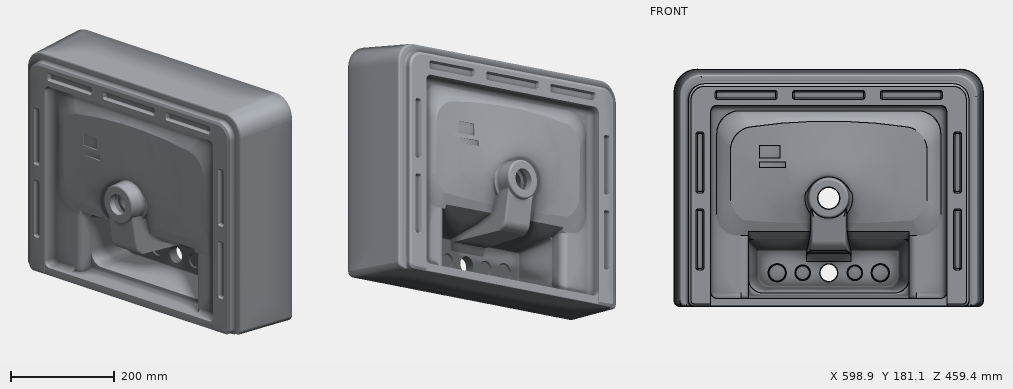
import cadquery as cq
import math


pick_margin = 1.0

overall_width = 598.9
overall_height = 459.44
rim_round = 7.0
wall_depth = 136.5
wall_edge_round = 4.0
wall_draft = math.radians(5.0)
wall_taper = wall_depth * math.tan(wall_draft)
rim_trim = rim_round * (math.tan(wall_draft) + 1 / math.cos(wall_draft) - 1)
rim_half_width = overall_width / 2 + rim_trim
rim_top = overall_height + rim_trim
rim_top_radius = 45.0
rim_top_radius_end = 41.0
low_corner_radius = 11.0

base_depth = 150.3
base_inset = 28.0
base_half_width = overall_width / 2 - base_inset
base_top = overall_height - base_inset
base_top_radius = 31.0
base_edge_depth = 2.5
base_edge_width = 5.0
step_round = 5.0
flange_width = 6.0
flange_thickness = 5.0

cavity_half_width = 228.6
cavity_low = 15.6
cavity_top = 389.5
cavity_depth = 126.0
cavity_corner_radius = 12.0
cavity_floor_round = 10.5
sill_recess = 2.0

deck_thickness = 20.0
leg_round = 14.0
leg_half_width = 169.6
pocket_half_width = leg_half_width - leg_round
pocket_step_depth = 95.0
pocket_step_round = 6.0
pocket_step_top = 130.0
pocket_mouth_top = 155.0
pocket_shelf = dict(
    half_width=pocket_half_width, low=26.0, top=pocket_step_top, low_radius=28.0, top_radius=9.0
)
pocket_floor = dict(half_width=137.0, low=37.0, top=109.0, low_radius=24.0, top_radius=4.0)
pocket_floor_round = 3.0

bowl_foot = dict(half_width=217.0, low=137.0, top=379.0, low_radius=42.0, top_radius=45.0)
crest_middle_depth = 137.0
crest_tilt = 1.8
crest_middle_height = 257.0
crest_side = 190.0
crest_top_corner = (154.0, 347.5)
crest_top_bend = (177.0, 335.0)
crest_side_top = 307.7
crest_side_low = 205.0
crest_low_bend = (180.0, 181.0)
crest_low_corner = (163.0, 166.5)
crest_top_middle = 359.0
crest_low_middle = 160.0
bowl_drain_depth = 147.5

drain_height = 209.7
drain_tip_depth = 181.08
drain_hole_diameter = 42.2
collar_root_radius = 40.4
collar_tip_radius = 38.2
collar_tip_round = 4.0
collar_root_round = 5.6
gallery_radius = 28.0
gallery_start_depth = 152.0
gallery_end_depth = 168.0

tap_height = 65.2
tap_hole_diameter = 34.0
knockouts = ((99.8, 17.6), (50.5, 15.0))
knockout_depth = 3.0
knockout_taper = 30.0

spout_face_half_width = 32.5
spout_root_half_width = 43.0
spout_face_depth = 173.5
spout_edge_round = 4.0
spout_foot = (deck_thickness, 87.0)
spout_ankle = (28.0, 103.0)
spout_heel = (150.0, 108.0)
spout_heel_bend = (160.5, 115.5)
spout_face_start = (165.5, 128.0)
spout_face_end = 174.7
spout_back = 140.0

groove_depth = 8.0
groove_taper = 20.0
groove_corner_radius = 4.5
top_groove_width = 17.0
top_groove_height = 409.6
top_groove_center_length = 139.6
top_groove_side_length = 120.0
top_groove_side_offset = 160.0
side_groove_width = 15.0
side_groove_length = 118.0
side_groove_offset = 249.5
side_groove_heights = (130.0, 278.8)

label_left = -134.0
labels = ((40.0, 24.0, 300.0, 138.8), (50.0, 10.7, 274.2, 140.2))


def plane_at(depth):
    return cq.Workplane("XZ", origin=(0, -depth, 0))


def rounded_outline(depth, half_width, low, top, low_radius, top_radius):
    low_bow = low_radius * (1 - math.sqrt(0.5))
    top_bow = top_radius * (1 - math.sqrt(0.5))
    return (
        plane_at(depth)
        .moveTo(low_radius - half_width, low)
        .lineTo(half_width - low_radius, low)
        .threePointArc((half_width - low_bow, low + low_bow), (half_width, low + low_radius))
        .lineTo(half_width, top - top_radius)
        .threePointArc((half_width - top_bow, top - top_bow), (half_width - top_radius, top))
        .lineTo(top_radius - half_width, top)
        .threePointArc((top_bow - half_width, top - top_bow), (-half_width, top - top_radius))
        .lineTo(-half_width, low + low_radius)
        .threePointArc((low_bow - half_width, low + low_bow), (low_radius - half_width, low))
        .close()
    )


def loft_between(first, second):
    wires = [first.wires().val(), second.wires().val()]
    return cq.Workplane(cq.Solid.makeLoft(wires, True))


def make_shell():
    rim = rounded_outline(0, rim_half_width, 0, rim_top, low_corner_radius, rim_top_radius)
    wall_end = rounded_outline(
        wall_depth,
        rim_half_width - wall_taper,
        0,
        rim_top - wall_taper,
        low_corner_radius,
        rim_top_radius_end,
    )
    wall = loft_between(rim, wall_end)
    wall = wall.faces(">Y").edges().fillet(rim_round)
    return wall.faces("<Y").edges().fillet(wall_edge_round)


def make_base():
    base_size = (base_half_width, 0, base_top, low_corner_radius, base_top_radius)
    flange = rounded_outline(
        wall_depth - flange_thickness,
        base_half_width + flange_width,
        -flange_width,
        base_top + flange_width,
        low_corner_radius + flange_width,
        base_top_radius + flange_width,
    ).extrude(flange_thickness)
    ring = rounded_outline(wall_depth, *base_size).extrude(base_depth - wall_depth)
    step_edges = cq.selectors.BoxSelector(
        (-base_half_width - pick_margin, -wall_depth - pick_margin, -pick_margin),
        (base_half_width + pick_margin, -wall_depth + pick_margin, base_top + pick_margin),
        boundingbox=True,
    )
    base = flange.union(ring).edges(step_edges).fillet(step_round)
    base = base.faces("<Y").edges().chamfer(base_edge_depth, base_edge_width)
    above_wall = cq.Workplane("XY").box(
        overall_width, 2 * base_depth, overall_height, centered=(True, True, False)
    )
    return base.intersect(above_wall)


def make_cavity():
    outline = rounded_outline(
        cavity_depth, cavity_half_width, cavity_low, cavity_top, cavity_corner_radius, cavity_corner_radius
    )
    cavity = outline.extrude(base_depth - cavity_depth)
    return cavity.faces(">Y").edges().fillet(cavity_floor_round)


def make_sill_recess():
    return (
        plane_at(base_depth - sill_recess)
        .rect(2 * cavity_half_width, 2 * (cavity_low + cavity_corner_radius))
        .extrude(sill_recess)
    )


def make_pocket():
    bow = pocket_step_round * (1 - math.sqrt(0.5))
    upper_stage = (
        cq.Workplane("YZ", origin=(-pocket_half_width, 0, 0))
        .moveTo(-base_depth, cavity_low)
        .lineTo(-pocket_step_depth - pocket_step_round, cavity_low)
        .threePointArc(
            (-pocket_step_depth - bow, cavity_low + bow),
            (-pocket_step_depth, cavity_low + pocket_step_round),
        )
        .lineTo(-pocket_step_depth, pocket_step_top)
        .lineTo(-base_depth, pocket_mouth_top)
        .close()
        .extrude(2 * pocket_half_width)
    )
    lower_stage = loft_between(
        rounded_outline(deck_thickness, **pocket_floor), rounded_outline(pocket_step_depth, **pocket_shelf)
    )
    lower_stage = lower_stage.faces(">Y").edges().fillet(pocket_floor_round)
    return upper_stage.union(lower_stage)


def make_leg_round(side):
    wall = side * pocket_half_width
    bow = leg_round * (1 - math.sqrt(0.5))
    return (
        cq.Workplane("XY", origin=(0, 0, cavity_low))
        .moveTo(wall, leg_round - cavity_depth)
        .threePointArc(
            (wall + side * bow, bow - cavity_depth), (side * leg_half_width, -cavity_depth)
        )
        .lineTo(side * leg_half_width, -base_depth)
        .lineTo(wall, -base_depth)
        .close()
        .extrude(bowl_foot["low"] - cavity_low)
    )


def crest_outline():
    plane = cq.Plane(origin=(0, -crest_middle_depth, crest_middle_height), xDir=(1, 0, 0), normal=(0, -1, 0))
    plane = plane.rotated((crest_tilt, 0, 0))

    def point(x, z):
        return (x, z - crest_middle_height)

    top_x, top_z = crest_top_corner
    low_x, low_z = crest_low_corner
    top_bend_x, top_bend_z = crest_top_bend
    low_bend_x, low_bend_z = crest_low_bend
    return (
        cq.Workplane(plane)
        .moveTo(*point(-low_x, low_z))
        .threePointArc(point(0, crest_low_middle), point(low_x, low_z))
        .threePointArc(point(low_bend_x, low_bend_z), point(crest_side, crest_side_low))
        .lineTo(*point(crest_side, crest_side_top))
        .threePointArc(point(top_bend_x, top_bend_z), point(top_x, top_z))
        .threePointArc(point(0, crest_top_middle), point(-top_x, top_z))
        .threePointArc(point(-top_bend_x, top_bend_z), point(-crest_side, crest_side_top))
        .lineTo(*point(-crest_side, crest_side_low))
        .threePointArc(point(-low_bend_x, low_bend_z), point(-low_x, low_z))
        .close()
    )


def make_bowl():
    flank = loft_between(rounded_outline(cavity_depth, **bowl_foot), crest_outline())
    lid = flank.faces("<Y").val()
    drain_point = cq.Vector(0, -bowl_drain_depth, drain_height)
    dome = cq.Face.makeNSidedSurface(lid.outerWire().Edges(), [drain_point])
    skin = [face for face in flank.faces().vals() if not face.isSame(lid)]
    bowl = cq.Solid.makeSolid(cq.Shell.makeShell(skin + [dome]))
    return cq.Workplane(bowl.fix())


def make_spout():
    def point(place):
        depth, height = place
        return (-depth, height)

    profile = (
        cq.Workplane("YZ", origin=(-spout_root_half_width, 0, 0))
        .moveTo(*point(spout_foot))
        .lineTo(*point(spout_ankle))
        .lineTo(*point(spout_heel))
        .threePointArc(point(spout_heel_bend), point(spout_face_start))
        .lineTo(-spout_face_depth, spout_face_end)
        .lineTo(-spout_face_depth, drain_height)
        .lineTo(-cavity_depth, drain_height)
        .lineTo(-deck_thickness, spout_back)
        .close()
    )
    flank_draft = (
        cq.Workplane("XY")
        .moveTo(-spout_root_half_width, -deck_thickness)
        .lineTo(spout_root_half_width, -deck_thickness)
        .lineTo(spout_face_half_width, -spout_face_depth)
        .lineTo(-spout_face_half_width, -spout_face_depth)
        .close()
        .extrude(drain_height)
    )
    spout = profile.extrude(2 * spout_root_half_width).intersect(flank_draft)
    outer_edges = cq.selectors.BoxSelector(
        (-spout_root_half_width, -spout_face_depth - pick_margin, spout_ankle[1]),
        (spout_root_half_width, -bowl_drain_depth, drain_height - pick_margin),
    )
    return spout.edges("not(#Y or |X)").edges(outer_edges).fillet(spout_edge_round)


def make_collar():
    flare_radius = collar_root_radius + collar_root_round
    flare_bow = collar_root_round * (1 - math.sqrt(0.5))
    collar = (
        cq.Workplane("XY")
        .moveTo(0, -cavity_depth)
        .lineTo(flare_radius, -cavity_depth)
        .lineTo(flare_radius, -bowl_drain_depth)
        .threePointArc(
            (collar_root_radius + flare_bow, -bowl_drain_depth - flare_bow),
            (collar_root_radius, -bowl_drain_depth - collar_root_round),
        )
        .lineTo(collar_tip_radius, -drain_tip_depth)
        .lineTo(0, -drain_tip_depth)
        .close()
        .revolve(360, (0, 0, 0), (0, 1, 0))
        .faces("<Y")
        .edges()
        .fillet(collar_tip_round)
    )
    return collar.translate((0, 0, drain_height))


def make_gallery():
    return (
        plane_at(gallery_start_depth)
        .center(0, drain_height)
        .circle(gallery_radius)
        .extrude(gallery_end_depth - gallery_start_depth)
    )


def make_groove(x, z, x_length, z_length):
    sketch = cq.Sketch().rect(x_length, z_length).vertices().fillet(groove_corner_radius)
    groove = cq.Workplane("XZ").placeSketch(sketch).extrude(-groove_depth, taper=groove_taper)
    return groove.translate((x, -base_depth, z))


def make_label(width, height, center_height, floor_depth):
    return (
        plane_at(floor_depth)
        .center(label_left + width / 2, center_height)
        .rect(width, height)
        .extrude(base_depth - floor_depth)
    )


def make_knockout(x, radius):
    return (
        plane_at(deck_thickness)
        .center(x, tap_height)
        .circle(radius)
        .extrude(-knockout_depth, taper=knockout_taper)
    )


def make_through_hole(height, diameter):
    return plane_at(0).center(0, height).circle(diameter / 2).extrude(drain_tip_depth)


result = make_shell().union(make_base())
result = result.cut(make_cavity()).cut(make_sill_recess())
result = result.union(make_bowl()).cut(make_pocket())
for side in (-1, 1):
    result = result.cut(make_leg_round(side))

result = result.union(make_spout()).union(make_collar())
result = result.cut(make_gallery())
result = result.cut(make_through_hole(drain_height, drain_hole_diameter))

result = result.cut(make_through_hole(tap_height, tap_hole_diameter))
for offset, radius in knockouts:
    for side in (-1, 1):
        result = result.cut(make_knockout(side * offset, radius))

result = result.cut(make_groove(0, top_groove_height, top_groove_center_length, top_groove_width))
for side in (-1, 1):
    top_x = side * top_groove_side_offset
    result = result.cut(make_groove(top_x, top_groove_height, top_groove_side_length, top_groove_width))
    side_x = side * side_groove_offset
    for height in side_groove_heights:
        result = result.cut(make_groove(side_x, height, side_groove_width, side_groove_length))

for label in labels:
    result = result.cut(make_label(*label))